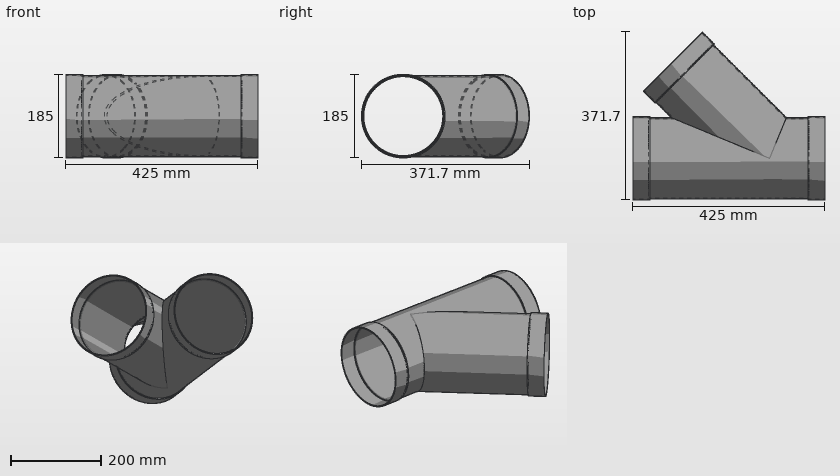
import math

import cadquery as cq

wall = 2.5
pipe_outer_diameter = 180.0
main_length = 425.0
long_leg = 302.28
branch_angle = 45.0
half_turn = 180.0
recess_depth = 35.0

short_leg = main_length - long_leg
pipe_outer_radius = pipe_outer_diameter / 2
pipe_inner_radius = pipe_outer_radius - wall
socket_outer_radius = pipe_outer_radius + wall
recess_radius = pipe_outer_radius
stop_round = recess_radius - pipe_inner_radius
socket_length = recess_depth + stop_round


def revolve_about_x(profile):
    """Revolve a closed XY profile, with Y as the radius, about the X axis."""
    return profile.close().revolve(360, (0, 0, 0), (1, 0, 0))


def leg_body(length):
    """Outer shape of a leg from the axis crossing to its mouth at +X."""
    shoulder = length - socket_length
    profile = (
        cq.Workplane("XY")
        .lineTo(0, pipe_outer_radius)
        .lineTo(shoulder, pipe_outer_radius)
        .lineTo(shoulder, socket_outer_radius)
        .lineTo(length, socket_outer_radius)
        .lineTo(length, 0)
    )
    return revolve_about_x(profile)


def leg_bore(length):
    """Hollow of a leg: bore, rounded stop and socket recess."""
    stop = length - recess_depth
    round_start = stop - stop_round
    round_middle = (
        round_start + stop_round * math.sqrt(0.5),
        recess_radius - stop_round * math.sqrt(0.5),
    )
    profile = (
        cq.Workplane("XY")
        .lineTo(0, pipe_inner_radius)
        .lineTo(round_start, pipe_inner_radius)
        .threePointArc(round_middle, (stop, recess_radius))
        .lineTo(length, recess_radius)
        .lineTo(length, 0)
    )
    return revolve_about_x(profile)


def join_legs(make_leg):
    """Place the three legs around the axis crossing: +X, -X and the branch toward -X +Y."""
    legs = make_leg(short_leg)
    for angle in (half_turn, half_turn - branch_angle):
        legs = legs.union(make_leg(long_leg).rotate((0, 0, 0), (0, 0, 1), angle))
    return legs


result = join_legs(leg_body).cut(join_legs(leg_bore))